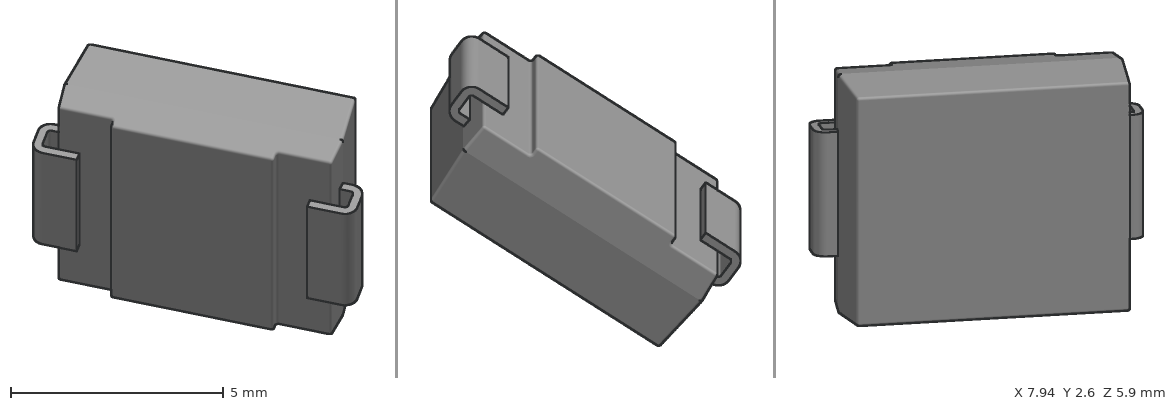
import cadquery as cq
import math

body_width = 6.845
body_height = 5.9
depth = 2.6
parting_y = 1.01
draft_angle = 5.0
edge_radius = 0.07

pad_width = 4.0
shoulder_y = 0.25

overall_width = 7.94
lead_height = 3.06
lead_depth = 0.99
lead_thickness = 0.22
lead_foot_length = 1.14
bend_outer_radius = 0.3
bend_inner_radius = bend_outer_radius - lead_thickness
lead_embed = 0.48


def drafted_half(y_end):
    """Half of the body, narrowing from the parting plane to y_end."""
    inset = 2 * abs(y_end - parting_y) * math.tan(math.radians(draft_angle))
    return (
        cq.Workplane("XZ", origin=(0, parting_y, 0))
        .rect(body_width, body_height)
        .workplane(offset=parting_y - y_end)
        .rect(body_width - inset, body_height - inset)
        .loft(combine=True)
    )


def make_body():
    """Drafted body with a stepped front and rounded outer edges."""
    body = drafted_half(depth).union(drafted_half(0))

    shoulder_width = (overall_width - pad_width) / 2
    for side in (-1, 1):
        shoulder = cq.Workplane("XY").box(
            shoulder_width, shoulder_y, body_height, centered=(True, False, True)
        )
        body = body.cut(shoulder.translate((side * (pad_width + shoulder_width) / 2, 0, 0)))

    tolerance = 0.001
    parting_line = cq.selectors.BoxSelector(
        (-overall_width, parting_y - tolerance, -body_height),
        (overall_width, parting_y + tolerance, body_height),
        boundingbox=True,
    )
    return body.edges(cq.selectors.InverseSelector(parting_line)).fillet(edge_radius)


def make_left_lead():
    """C-shaped strip leaving the body and folding forward along the shoulder."""
    outer_x = -overall_width / 2
    inner_x = outer_x + lead_thickness
    buried_x = -body_width / 2 + lead_embed
    foot_x = outer_x + lead_foot_length
    inner_back_y = lead_depth - lead_thickness

    lead = (
        cq.Workplane("XY", origin=(0, 0, -lead_height / 2))
        .moveTo(foot_x, 0)
        .lineTo(outer_x, 0)
        .lineTo(outer_x, lead_depth)
        .lineTo(buried_x, lead_depth)
        .lineTo(buried_x, inner_back_y)
        .lineTo(inner_x, inner_back_y)
        .lineTo(inner_x, lead_thickness)
        .lineTo(foot_x, lead_thickness)
        .close()
        .extrude(lead_height)
    )
    lead = lead.edges("|Z and <X").fillet(bend_outer_radius)
    for bend_y in (lead_thickness, inner_back_y):
        bend = cq.selectors.NearestToPointSelector((inner_x, bend_y, 0))
        lead = lead.edges("|Z").edges(bend).fillet(bend_inner_radius)
    return lead


left_lead = make_left_lead()
result = make_body().union(left_lead).union(left_lead.mirror("YZ"))